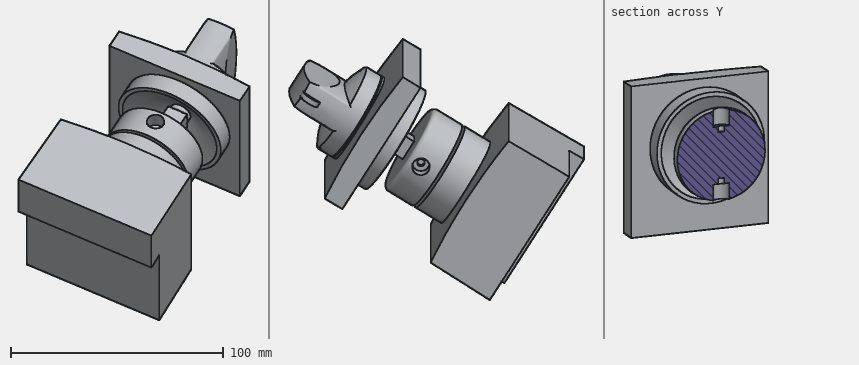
import cadquery as cq
import math

AXIS_DIRECTION = (0, 1, 0)
EXTRA = 6.8

CENTER_X = -2.0
FACE_WIDTH = 69.6
FACE_TOP = 31.4
FACE_BOTTOM = -42.9
CROWN = 1.9
ROUND_RADIUS = 22.4

BLOCK_WIDTH = 71.0
BLOCK_TOP = 32.4
BLOCK_BOTTOM = -43.4
BLOCK_EDGE_Y = 41.5
STEP_DEPTH = 8.2
STEP_Z = 7.4
COLLAR_END_Y = 56.8

COUPLER_START_Y = 58.3
COUPLER_END_Y = 74.3
COUPLER_FILLET = 2.5
SHAFT_SIDE = 10.1
SHAFT_END_Y = 89.7
SCREW_Y = 67.3
SCREW_DIAMETER = 8.2
SCREW_DEPTH = 8.2
SOCKET_DIAMETER = 3.5
SOCKET_DEPTH = 2.7

RING_START_Y = 81.6
RING_RADIUS = 27.3
PLATE_START_Y = 90.5
PLATE_EDGE_Y = 100.3
PLATE_BACK_TOP = 31.7
MOUTH_RADIUS = 25.1
BOWL_BREAK_RADIUS = 16.7
BOWL_BREAK_Y = 85.9
POST_RADIUS = 5.3
BOWL_FLOOR_Y = 92.7

GROOVE_START_Y = 102.8
GROOVE_END_Y = 103.3
GROOVE_DEPTH = 0.4
SKIRT_END_Y = 110.5
SHOULDER_Y = 111.4
SHOULDER_RADIUS = 22.1
DOME_TOP_Y = 117.3
TIP_Y = 136.5
TIP_EDGE_Y = 133.1
TIP_HALF_WIDTH = 6.7
GRIP_HALF_WIDTH = 10.1
GRIP_END_HALF_WIDTH = 7.4
GRIP_MID_Y = 128.3
GRIP_MID_HALF_WIDTH = 7.6
GRIP_FLARE_Y = 118.8
GRIP_CORNER_FILLET = 1.2
NUB_Y = 128.7
NUB_RADIUS = 4.9
NUB_REACH = 25.7
NUB_WIDTH = 2.7


def cylinder(radius, start_y, end_y):
    """Cylinder on the common axis."""
    return cq.Workplane(
        cq.Solid.makeCylinder(radius, end_y - start_y, cq.Vector(0, start_y, 0), cq.Vector(*AXIS_DIRECTION))
    )


def extrude_across_x(side_outline, width, center_x=0):
    """Extrude a closed YZ outline symmetrically about center_x."""
    return side_outline.extrude(width / 2, both=True).translate((center_x, 0, 0))


def crowned_plan(back_y, edge_y, back_width):
    """Prism along Z with drafted sides and a crowned +Y face."""
    back = back_width / 2
    front = FACE_WIDTH / 2
    height = FACE_TOP - FACE_BOTTOM + 2 * EXTRA
    return (
        cq.Workplane("XY")
        .moveTo(-back, back_y)
        .lineTo(back, back_y)
        .lineTo(front, edge_y)
        .threePointArc((0, edge_y + CROWN), (-front, edge_y))
        .close()
        .extrude(height)
        .translate((CENTER_X, 0, FACE_BOTTOM - EXTRA))
    )


def make_block():
    crown_y = BLOCK_EDGE_Y + CROWN
    side = cq.Workplane("YZ").polyline([
        (0, STEP_Z),
        (STEP_DEPTH, STEP_Z),
        (STEP_DEPTH, BLOCK_BOTTOM),
        (crown_y, FACE_BOTTOM),
        (crown_y, FACE_TOP),
        (0, BLOCK_TOP),
    ]).close()
    block = extrude_across_x(side, BLOCK_WIDTH, CENTER_X)
    block = block.intersect(crowned_plan(0, BLOCK_EDGE_Y, BLOCK_WIDTH))
    collar = cylinder(ROUND_RADIUS, BLOCK_EDGE_Y - CROWN, COLLAR_END_Y)
    return block.union(collar)


def make_coupler():
    coupler = cylinder(ROUND_RADIUS, COUPLER_START_Y, COUPLER_END_Y)
    coupler = coupler.faces(">Y").edges().fillet(COUPLER_FILLET)
    shaft_length = SHAFT_END_Y - COUPLER_START_Y
    shaft = cq.Workplane("XY").box(SHAFT_SIDE, shaft_length, SHAFT_SIDE)
    coupler = coupler.union(shaft.translate((0, COUPLER_START_Y + shaft_length / 2, 0)))

    floor_z = ROUND_RADIUS - SCREW_DEPTH
    screw_level = cq.Workplane("XY").workplane(offset=floor_z).center(0, SCREW_Y)
    bore = screw_level.circle(SCREW_DIAMETER / 2).extrude(SCREW_DEPTH)
    socket = screw_level.circle(SOCKET_DIAMETER / 2).extrude(-SOCKET_DEPTH)
    screw_hole = bore.union(socket)
    for angle in (0, 180):
        coupler = coupler.cut(screw_hole.rotate((0, 0, 0), AXIS_DIRECTION, angle))
    return coupler


def make_plate():
    crown_y = PLATE_EDGE_Y + CROWN
    side = cq.Workplane("YZ").polyline([
        (PLATE_START_Y, FACE_BOTTOM),
        (crown_y, FACE_BOTTOM),
        (crown_y, FACE_TOP),
        (PLATE_START_Y, PLATE_BACK_TOP),
    ]).close()
    plate = extrude_across_x(side, FACE_WIDTH, CENTER_X)
    plate = plate.intersect(crowned_plan(PLATE_START_Y, PLATE_EDGE_Y, FACE_WIDTH))
    plate = plate.union(cylinder(RING_RADIUS, RING_START_Y, PLATE_START_Y))

    bowl = (
        cq.Workplane("XY")
        .polyline([
            (0, RING_START_Y),
            (MOUTH_RADIUS, RING_START_Y),
            (BOWL_BREAK_RADIUS, BOWL_BREAK_Y),
            (POST_RADIUS, BOWL_FLOOR_Y),
            (POST_RADIUS, SHAFT_END_Y),
            (0, SHAFT_END_Y),
        ])
        .close()
        .revolve(360, (0, 0), AXIS_DIRECTION)
    )
    return plate.cut(bowl)


def make_grip():
    """Wing with hollow tapered flanks, convex sides and a curved tip."""
    end_z = math.sqrt(ROUND_RADIUS**2 - GRIP_END_HALF_WIDTH**2)
    lens = (
        cq.Workplane("XZ")
        .moveTo(-GRIP_END_HALF_WIDTH, -end_z)
        .threePointArc((0, -ROUND_RADIUS), (GRIP_END_HALF_WIDTH, -end_z))
        .threePointArc((GRIP_HALF_WIDTH, 0), (GRIP_END_HALF_WIDTH, end_z))
        .threePointArc((0, ROUND_RADIUS), (-GRIP_END_HALF_WIDTH, end_z))
        .threePointArc((-GRIP_HALF_WIDTH, 0), (-GRIP_END_HALF_WIDTH, -end_z))
        .close()
        .extrude(-(TIP_Y - SKIRT_END_Y))
        .translate((0, SKIRT_END_Y, 0))
        .edges("|Y")
        .fillet(GRIP_CORNER_FILLET)
    )
    flanks = (
        cq.Workplane("XY")
        .moveTo(-GRIP_HALF_WIDTH, SKIRT_END_Y)
        .lineTo(GRIP_HALF_WIDTH, SKIRT_END_Y)
        .lineTo(GRIP_HALF_WIDTH, GRIP_FLARE_Y)
        .threePointArc((GRIP_MID_HALF_WIDTH, GRIP_MID_Y), (TIP_HALF_WIDTH, TIP_Y))
        .lineTo(-TIP_HALF_WIDTH, TIP_Y)
        .threePointArc((-GRIP_MID_HALF_WIDTH, GRIP_MID_Y), (-GRIP_HALF_WIDTH, GRIP_FLARE_Y))
        .close()
        .extrude(ROUND_RADIUS, both=True)
    )
    tip_outline = (
        cq.Workplane("YZ")
        .moveTo(SKIRT_END_Y, -ROUND_RADIUS)
        .lineTo(TIP_EDGE_Y, -ROUND_RADIUS)
        .threePointArc((TIP_Y, 0), (TIP_EDGE_Y, ROUND_RADIUS))
        .lineTo(SKIRT_END_Y, ROUND_RADIUS)
        .close()
    )
    return lens.intersect(flanks).intersect(extrude_across_x(tip_outline, 2 * GRIP_HALF_WIDTH))


def make_nub():
    """Pointer disc standing out of the lower end of the grip."""
    outline = cq.Workplane("YZ").center(NUB_Y, NUB_RADIUS - NUB_REACH).circle(NUB_RADIUS)
    return extrude_across_x(outline, NUB_WIDTH)


def make_knob():
    dome_rise = DOME_TOP_Y - SHOULDER_Y
    dome_radius = (SHOULDER_RADIUS**2 + dome_rise**2) / (2 * dome_rise)
    mid_radius = SHOULDER_RADIUS / 2
    mid_y = DOME_TOP_Y - dome_radius + math.sqrt(dome_radius**2 - mid_radius**2)
    groove_radius = ROUND_RADIUS - GROOVE_DEPTH
    base_y = PLATE_EDGE_Y - CROWN
    skirt = (
        cq.Workplane("XY")
        .moveTo(0, base_y)
        .lineTo(ROUND_RADIUS, base_y)
        .lineTo(ROUND_RADIUS, GROOVE_START_Y)
        .lineTo(groove_radius, GROOVE_START_Y)
        .lineTo(groove_radius, GROOVE_END_Y)
        .lineTo(ROUND_RADIUS, GROOVE_END_Y)
        .lineTo(ROUND_RADIUS, SKIRT_END_Y)
        .lineTo(SHOULDER_RADIUS, SHOULDER_Y)
        .threePointArc((mid_radius, mid_y), (0, DOME_TOP_Y))
        .close()
        .revolve(360, (0, 0), AXIS_DIRECTION)
    )
    return skirt.union(make_grip()).union(make_nub())


block = make_block()
coupler = make_coupler()
plate_with_knob = make_plate().union(make_knob())

result = cq.Compound.makeCompound([block.val(), coupler.val(), plate_with_knob.val()])